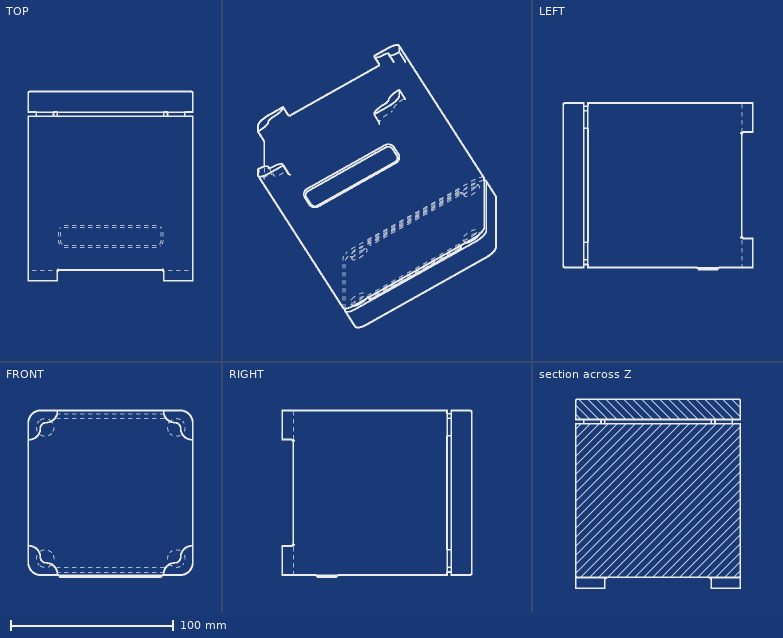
import cadquery as cq
import math

side = 101.7
length = 116.8
corner_radius = 8.0
half_side = side / 2

lid_thickness = 12.7
lid_edge_radius = 1.3
gap = 2.5
lid_front = length - lid_thickness
box_back = lid_front - gap

rim_radius = 1.2
foot_height = 6.7
clearance_inset = 11.1
lobe_radius = 7.0
lobe_center_depth = 0.6
foot_fillet = 1.2
lobe_depth = lobe_center_depth + lobe_radius
clearance_radius = clearance_inset - lobe_depth
foot_reach = clearance_inset + math.sqrt(lobe_radius**2 - lobe_center_depth**2)

foot_root = 2 * rim_radius

post_diameter = 10.9
post_inset = 10.4
bar_length = 65.7
bar_thickness = 3.0
bar_inset = 2.0

pad_height = 1.2
pad_length = 64.3
pad_width = 13.5
pad_front = 20.8
pad_corner_radius = 4.2

diagonal = math.sqrt(0.5)
tolerance = 0.01


def rounded_block(front, back):
    """Square block with rounded long edges between two Y positions."""
    return (
        cq.Workplane("XY")
        .box(side, back - front, side)
        .edges("|Y")
        .fillet(corner_radius)
        .translate((0, (front + back) / 2, 0))
    )


def space_between_feet(depth):
    """Solid filling the cross-shaped space between the four feet, from Y = 0 to the given depth."""
    straight_end = half_side - foot_reach
    clearance_center = half_side - clearance_inset
    lobe_center = half_side - lobe_center_depth
    lobe_top = half_side - lobe_depth
    lobe_mid_along = clearance_center - lobe_radius * diagonal
    lobe_mid_across = lobe_center - lobe_radius * diagonal
    clearance_mid = clearance_center + clearance_radius * diagonal

    quarter = (
        cq.Workplane("XZ")
        .lineTo(half_side, 0)
        .lineTo(half_side, straight_end)
        .threePointArc((lobe_mid_across, lobe_mid_along), (lobe_top, clearance_center))
        .threePointArc((clearance_mid, clearance_mid), (clearance_center, lobe_top))
        .threePointArc((lobe_mid_along, lobe_mid_across), (straight_end, half_side))
        .lineTo(0, half_side)
        .close()
        .extrude(-depth)
    )
    half = quarter.union(quarter.mirror("YZ"))
    return half.union(half.mirror("XY")).clean()


def make_feet():
    """Four corner feet, with their roots reaching past the rounded rim."""
    root = foot_height + foot_root
    return rounded_block(0, root).cut(space_between_feet(root))


def foot_root_edges(body):
    """Edges where the feet rise from the floor and from its rounded rim."""
    picked = []
    for edge in body.edges().vals():
        bounds = edge.BoundingBox()
        in_rim = bounds.ymin > foot_height - tolerance and bounds.ymax < foot_height + foot_root
        if in_rim and max(bounds.xlen, bounds.zlen) < foot_reach:
            picked.append(edge)
    return body.newObject(picked)


def corner_posts():
    spacing = side - 2 * post_inset
    return (
        cq.Workplane("XZ", origin=(0, box_back, 0))
        .rect(spacing, spacing, forConstruction=True)
        .vertices()
        .circle(post_diameter / 2)
        .extrude(-gap)
    )


def long_bar(z_sign):
    """Bar along X in the gap, near the top (+1) or bottom (-1) side."""
    center_z = z_sign * (half_side - bar_inset - bar_thickness / 2)
    return (
        cq.Workplane("XY")
        .box(bar_length, gap, bar_thickness)
        .translate((0, box_back + gap / 2, center_z))
    )


def bottom_pad():
    """Low rounded pad whose sides slope at 45 degrees; its upper half is sunk into the box."""
    return (
        cq.Workplane("XY")
        .box(pad_length, pad_width, 2 * pad_height)
        .edges("|Z")
        .fillet(pad_corner_radius)
        .faces("<Z")
        .chamfer(pad_height)
        .translate((0, pad_front + pad_width / 2, -half_side))
    )


def make_box():
    """Box with corner feet, rounded front rim, gap posts and bars, and the pad underneath."""
    core = rounded_block(foot_height, box_back).faces("<Y").edges().fillet(rim_radius)
    body = core.union(make_feet())
    body = foot_root_edges(body).fillet(foot_fillet)
    body = body.union(corner_posts())
    for z_sign in (-1, 1):
        body = body.union(long_bar(z_sign))
    return body.union(bottom_pad())


def make_lid():
    """Plain lid with a rounded rim at the back."""
    return rounded_block(lid_front, length).faces(">Y").edges().fillet(lid_edge_radius)


box = make_box()
lid = make_lid()
result = cq.Compound.makeCompound([box.solids().val(), lid.solids().val()])